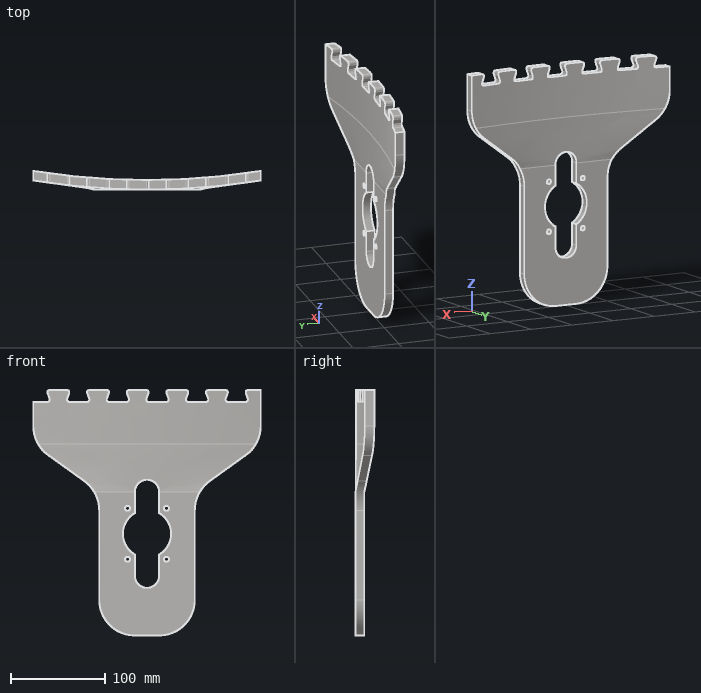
import cadquery as cq
import math


HEAD_WIDTH = 241.3
HANDLE_WIDTH = 101.6
HEIGHT = 260.35
THICKNESS = 9.525
OUTLINE_RADIUS = 38.1
HEAD_CORNER_DROP = 38.1
NECK_ANGLE = math.radians(35.7)

HEAD_BACK_RADIUS = 762.0
HEAD_THICKNESS = 10.16
HEAD_SETBACK = 0.381
HEAD_LENGTH = 57.15
TRANSITION_LENGTH = 50.8
HEAD_CREASE_Z = HEIGHT - HEAD_LENGTH
HANDLE_CREASE_Z = HEAD_CREASE_Z - TRANSITION_LENGTH
STOCK_MARGIN = 1.25

TOOTH_DEPTH = 12.7
FLANK_PITCH = 21.0
FIRST_FLANK_INSET = 16.256
FLANK_COUNT = 11
FLANK_ANGLE = math.radians(20)
FLANK_FILLET = 2.54

OPENING_Z = 107.95
OPENING_DIAMETER = 50.8
SLOT_WIDTH = 25.4
SLOT_LENGTH = 114.3
HOLE_DIAMETER = 5.0
HOLE_SPACING_X = 41.275
HOLE_SPACING_Z = 53.975

CUT_DEPTH = 100.0


def through_sketch():
    """XZ workplane whose extrusions of 2 * CUT_DEPTH pass right through the plate."""
    return cq.Workplane("XZ", origin=(0, CUT_DEPTH, 0))


def head_section(plane):
    """Cross-section of the curved head, wider than the finished outline."""
    front_radius = HEAD_BACK_RADIUS + HEAD_THICKNESS
    axis_y = HEAD_SETBACK + front_radius
    half_angle = math.asin(STOCK_MARGIN * HEAD_WIDTH / 2 / HEAD_BACK_RADIUS)

    def at(radius, angle):
        return (radius * math.sin(angle), axis_y - radius * math.cos(angle))

    return (
        plane.moveTo(*at(front_radius, -half_angle))
        .threePointArc(at(front_radius, 0), at(front_radius, half_angle))
        .lineTo(*at(HEAD_BACK_RADIUS, half_angle))
        .threePointArc(at(HEAD_BACK_RADIUS, 0), at(HEAD_BACK_RADIUS, -half_angle))
        .close()
    )


def handle_section(plane):
    """Cross-section of the flat handle, drawn in the same edge order as the head."""
    half_width = STOCK_MARGIN * HANDLE_WIDTH / 2
    return (
        plane.moveTo(-half_width, 0)
        .lineTo(half_width, 0)
        .lineTo(half_width, THICKNESS)
        .lineTo(-half_width, THICKNESS)
        .close()
    )


def make_formed_sheet():
    """Flat handle, ruled transition and curved head joined before trimming."""
    handle = handle_section(cq.Workplane("XY")).extrude(HANDLE_CREASE_Z)
    head_plane = cq.Workplane("XY", origin=(0, 0, HEAD_CREASE_Z))
    head = head_section(head_plane).extrude(HEAD_LENGTH)
    handle_wire = handle_section(cq.Workplane("XY", origin=(0, 0, HANDLE_CREASE_Z))).val()
    head_wire = head_section(head_plane).val()
    transition = cq.Solid.makeLoft([handle_wire, head_wire], True)
    return handle.union(cq.Workplane(transition)).union(head)


def make_outline():
    """Extruded front outline of the plate, without its teeth."""
    half_head = HEAD_WIDTH / 2
    half_handle = HANDLE_WIDTH / 2
    neck_run = half_head - half_handle
    turn = math.pi / 2 - NECK_ANGLE
    arc_run = OUTLINE_RADIUS * (1 - math.cos(turn))
    arc_drop = OUTLINE_RADIUS * math.sin(turn)
    mid_run = OUTLINE_RADIUS * (1 - math.cos(turn / 2))
    mid_drop = OUTLINE_RADIUS * math.sin(turn / 2)
    flank_drop = (neck_run - 2 * arc_run) * math.tan(NECK_ANGLE)
    head_arc_z = HEIGHT - HEAD_CORNER_DROP
    neck_arc_z = head_arc_z - 2 * arc_drop - flank_drop
    corner_mid = OUTLINE_RADIUS * (1 - math.sqrt(0.5))

    half = (
        through_sketch()
        .moveTo(0, HEIGHT)
        .lineTo(half_head, HEIGHT)
        .lineTo(half_head, head_arc_z)
        .threePointArc(
            (half_head - mid_run, head_arc_z - mid_drop),
            (half_head - arc_run, head_arc_z - arc_drop),
        )
        .lineTo(half_handle + arc_run, neck_arc_z + arc_drop)
        .threePointArc(
            (half_handle + mid_run, neck_arc_z + mid_drop),
            (half_handle, neck_arc_z),
        )
        .lineTo(half_handle, OUTLINE_RADIUS)
        .threePointArc(
            (half_handle - corner_mid, corner_mid),
            (half_handle - OUTLINE_RADIUS, 0),
        )
        .lineTo(0, 0)
        .close()
        .extrude(2 * CUT_DEPTH)
    )
    return half.union(half.mirror("YZ"))


def make_tooth_gaps():
    """Dovetail gaps between the teeth, plus the open notch at the left end."""
    floor_z = HEIGHT - TOOTH_DEPTH
    half_overhang = TOOTH_DEPTH * math.tan(FLANK_ANGLE) / 2
    first_flank = FIRST_FLANK_INSET - HEAD_WIDTH / 2
    outside = -HEAD_WIDTH

    def gap(left_floor, left_top, right_flank):
        return (
            through_sketch()
            .moveTo(left_floor, floor_z)
            .lineTo(right_flank + half_overhang, floor_z)
            .lineTo(right_flank - half_overhang, HEIGHT)
            .lineTo(left_top, HEIGHT)
            .close()
            .extrude(2 * CUT_DEPTH)
        )

    gaps = gap(outside, outside, first_flank)
    for index in range(1, FLANK_COUNT, 2):
        left_flank = first_flank + index * FLANK_PITCH
        right_flank = left_flank + FLANK_PITCH
        gaps = gaps.union(gap(left_flank - half_overhang, left_flank + half_overhang, right_flank))
    return gaps


def round_tooth_flanks(blank):
    """Fillet the tip and root of every dovetail flank."""
    inside = HEAD_WIDTH / 2 - FLANK_FILLET
    band = cq.selectors.BoxSelector(
        (-inside, -CUT_DEPTH, HEIGHT - TOOTH_DEPTH - FLANK_FILLET),
        (inside, CUT_DEPTH, HEIGHT + FLANK_FILLET),
    )
    return blank.edges("|Y").edges(band).fillet(FLANK_FILLET)


def make_opening():
    """Round opening crossed by a vertical slot."""
    slot = through_sketch().center(0, OPENING_Z).slot2D(SLOT_LENGTH, SLOT_WIDTH, 90)
    circle = through_sketch().center(0, OPENING_Z).circle(OPENING_DIAMETER / 2)
    return slot.extrude(2 * CUT_DEPTH).union(circle.extrude(2 * CUT_DEPTH))


def make_screw_holes():
    """Four holes in a rectangle around the opening."""
    return (
        through_sketch()
        .center(0, OPENING_Z)
        .rarray(HOLE_SPACING_X, HOLE_SPACING_Z, 2, 2)
        .circle(HOLE_DIAMETER / 2)
        .extrude(2 * CUT_DEPTH)
    )


profile = round_tooth_flanks(make_outline().cut(make_tooth_gaps()))
profile = profile.cut(make_opening()).cut(make_screw_holes())
result = make_formed_sheet().intersect(profile)